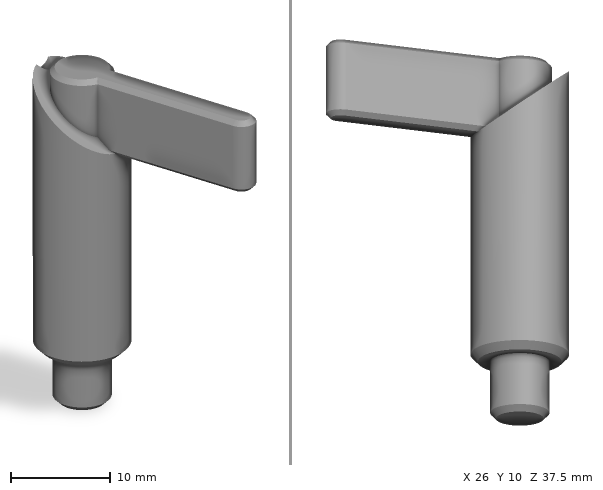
import cadquery as cq

total_height = 37.5

sleeve_radius = 5.0
sleeve_bottom = 6.0
sleeve_chamfer = 0.75
cam_rise = 7.5
notch_radius = 1.12
notch_floor = 36.2

pin_radius = 3.0
pin_chamfer = 0.6
knob_radius = 3.25
lever_chamfer = 0.5
blade_height = 8.02
blade_thickness = 3.0
blade_reach = 21.0

blade_bottom = total_height - blade_height
blade_end_radius = blade_thickness / 2
cam_low = blade_bottom
cam_high = cam_low + cam_rise
notch_length = sleeve_radius - knob_radius


def make_sleeve_blank():
    """Solid cylinder with a chamfered foot, cut off by the sloping cam plane."""
    cylinder = (
        cq.Workplane("XY", origin=(0, 0, sleeve_bottom))
        .circle(sleeve_radius)
        .extrude(cam_high - sleeve_bottom)
        .faces("<Z").edges().chamfer(sleeve_chamfer)
    )
    above_cam = (
        cq.Workplane("XZ")
        .moveTo(-sleeve_radius, cam_high)
        .lineTo(sleeve_radius, cam_high)
        .lineTo(sleeve_radius, cam_low)
        .close()
        .extrude(sleeve_radius, both=True)
    )
    return cylinder.cut(above_cam)


def make_shaft():
    """Round pin with a chamfered tip, stepping up to the knob."""
    pin = (
        cq.Workplane("XY")
        .circle(pin_radius)
        .extrude(blade_bottom)
        .faces("<Z").edges().chamfer(pin_chamfer)
    )
    knob = (
        cq.Workplane("XY", origin=(0, 0, blade_bottom))
        .circle(knob_radius)
        .extrude(blade_height)
        .faces(">Z").edges().chamfer(lever_chamfer)
    )
    return pin.union(knob)


def make_blade():
    """Flat lever arm with a round end, chamfered along its top and bottom."""
    end_center = blade_reach - blade_end_radius
    return (
        cq.Workplane("XY", origin=(0, 0, blade_bottom))
        .moveTo(0, -blade_end_radius)
        .lineTo(end_center, -blade_end_radius)
        .threePointArc((blade_reach, 0), (end_center, blade_end_radius))
        .lineTo(0, blade_end_radius)
        .close()
        .extrude(blade_height)
        .faces("<Z or >Z").edges().chamfer(lever_chamfer)
    )


def make_notch():
    """Horizontal round groove across the high point of the cam."""
    return (
        cq.Workplane("YZ", origin=(-sleeve_radius, 0, notch_floor + notch_radius))
        .circle(notch_radius)
        .extrude(notch_length)
    )


sleeve_blank = make_sleeve_blank()
shaft = make_shaft()

sleeve = sleeve_blank.cut(shaft).cut(make_notch())
lever_plunger = shaft.union(make_blade().cut(sleeve_blank))

result = cq.Compound.makeCompound([sleeve.val(), lever_plunger.val()])